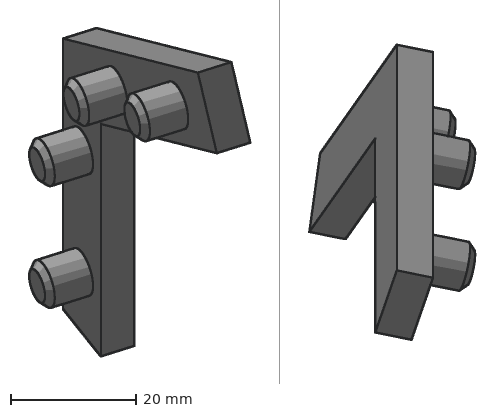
import cadquery as cq
import math

total_height = 83.25
arm_width = 13.5
plate_thickness = 6.0
arm_tilt = 30.0

pin_diameter = 8.0
pin_length = 8.0
pin_chamfer = 1.2
pin_end_distance = 12.5
pin_spacing = 25.0

along_x = math.cos(math.radians(arm_tilt))
along_z = math.sin(math.radians(arm_tilt))

bend_angle = 90.0 + arm_tilt
mitre_drop = arm_width / math.tan(math.radians(bend_angle / 2))
arm_length = total_height / (1 + along_z)


def upper_arm_point(distance, offset):
    """Point at a distance from the bend along the outer edge, offset inward across the arm."""
    return (distance * along_x + offset * along_z, arm_length + distance * along_z - offset * along_x)


def make_plate():
    outline = [
        (0, 0),
        (arm_width, 0),
        (arm_width, arm_length - mitre_drop),
        upper_arm_point(arm_length, arm_width),
        upper_arm_point(arm_length, 0),
        (0, arm_length),
    ]
    return cq.Workplane("XZ").polyline(outline).close().extrude(-plate_thickness)


def make_pin(center):
    pin = cq.Workplane("XZ").center(*center).circle(pin_diameter / 2).extrude(pin_length)
    return pin.faces("<Y").chamfer(pin_chamfer)


pin_centers = []
for end_distance in (pin_end_distance, pin_end_distance + pin_spacing):
    pin_centers.append((arm_width / 2, end_distance))
    pin_centers.append(upper_arm_point(arm_length - end_distance, arm_width / 2))

plate = make_plate()
pins = [make_pin(center) for center in pin_centers]

result = cq.Compound.makeCompound([plate.val(), *[pin.val() for pin in pins]])